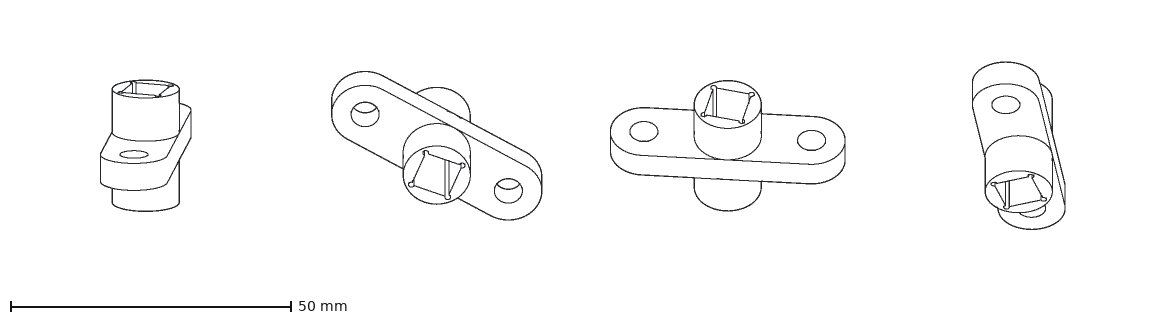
import cadquery as cq

arm_width = 12.0
arm_thickness = 5.0
hole_spacing = 30.0
hole_diameter = 5.0
arm_angle = 100.0

hub_diameter = arm_width
hub_length = 21.0

socket_side = 7.0
relief_diameter = 1.0


def make_arm():
    arm = (
        cq.Workplane("XY")
        .slot2D(hole_spacing + arm_width, arm_width)
        .extrude(arm_thickness / 2, both=True)
    )
    holes = (
        cq.Workplane("XY")
        .pushPoints([(-hole_spacing / 2, 0), (hole_spacing / 2, 0)])
        .circle(hole_diameter / 2)
        .extrude(arm_thickness, both=True)
    )
    return arm.cut(holes).rotate((0, 0, 0), (0, 0, 1), arm_angle)


def make_hub():
    return cq.Workplane("XY").circle(hub_diameter / 2).extrude(hub_length / 2, both=True)


def make_socket():
    square = cq.Workplane("XY").rect(socket_side, socket_side).extrude(hub_length, both=True)
    reliefs = (
        cq.Workplane("XY")
        .rect(socket_side, socket_side, forConstruction=True)
        .vertices()
        .circle(relief_diameter / 2)
        .extrude(hub_length, both=True)
    )
    return square.union(reliefs)


result = make_arm().union(make_hub()).cut(make_socket())